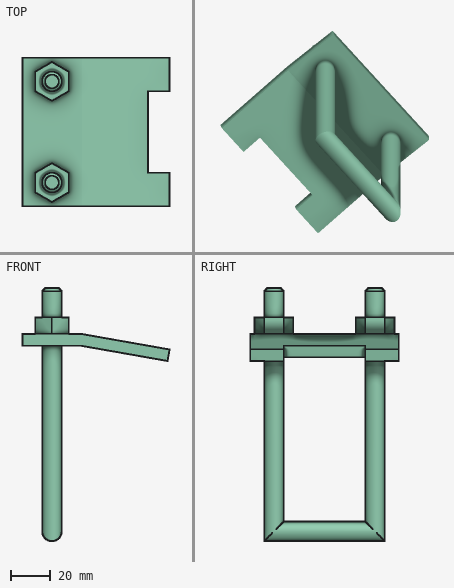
import cadquery as cq
import math

plate_width = 75.0
plate_thickness = 6.0
flat_length = 30.0
tongue_length = 45.0
bend_angle = 10
plate_top = 104.6
plate_bottom = plate_top - plate_thickness

notch_width = 41.0
notch_depth = 11.0

bolt_height = 127.9
rod_diameter = 10.0
rod_radius = rod_diameter / 2
leg_spacing = 51.0
leg_x = 15.0
tip_chamfer_radial = 1.5
tip_chamfer_height = 1.8

nut_across_flats = 17.0
nut_height = 8.3


def make_plate():
    slope = math.radians(bend_angle)
    bend_setback = plate_thickness * math.tan(slope / 2)

    def tongue_point(along, below):
        """Point along the sloping top face and square below it."""
        x = flat_length + along * math.cos(slope) - below * math.sin(slope)
        z = plate_top - along * math.sin(slope) - below * math.cos(slope)
        return x, z

    def extrude_across(points, width):
        return cq.Workplane("XZ").polyline(points).close().extrude(width / 2, both=True)

    plate = extrude_across(
        [
            (0, plate_bottom),
            (0, plate_top),
            (flat_length, plate_top),
            tongue_point(tongue_length, 0),
            tongue_point(tongue_length, plate_thickness),
            (flat_length - bend_setback, plate_bottom),
        ],
        plate_width,
    )
    notch_start = tongue_length - notch_depth
    notch_end = tongue_length + plate_thickness
    notch = extrude_across(
        [
            tongue_point(notch_start, -plate_thickness),
            tongue_point(notch_end, -plate_thickness),
            tongue_point(notch_end, 2 * plate_thickness),
            tongue_point(notch_start, 2 * plate_thickness),
        ],
        notch_width,
    )
    return plate.cut(notch)


def make_u_bolt():
    half_spacing = leg_spacing / 2
    path = cq.Workplane("YZ", origin=(leg_x, 0, 0)).polyline(
        [
            (-half_spacing, bolt_height),
            (-half_spacing, rod_radius),
            (half_spacing, rod_radius),
            (half_spacing, bolt_height),
        ]
    )
    rod = (
        cq.Workplane("XY", origin=(leg_x, -half_spacing, bolt_height))
        .circle(rod_radius)
        .sweep(path, transition="right")
    )
    return rod.faces(">Z").chamfer(tip_chamfer_height, tip_chamfer_radial)


def make_nut(y):
    across_corners = nut_across_flats / math.cos(math.pi / 6)
    return (
        cq.Workplane("XY")
        .polygon(6, across_corners)
        .extrude(nut_height)
        .rotate((0, 0, 0), (0, 0, 1), 90)
        .translate((leg_x, y, plate_top))
    )


result = make_plate().union(make_u_bolt())
for side in (-1, 1):
    result = result.union(make_nut(side * leg_spacing / 2))